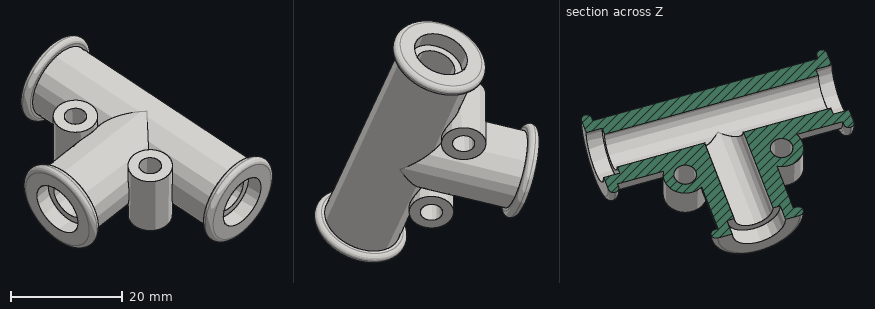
import cadquery as cq

run_length = 46.5
branch_length = 23.75
tube_diameter = 14.3
bore_diameter = 7.25
socket_diameter = 10.0
socket_depth = 3.0

collar_diameter = 17.5
collar_width = 2.0

boss_diameter = 8.0
boss_hole_diameter = 4.0
boss_height = 12.75
boss_offset_x = 9.1
boss_offset_y = 9.0

arms = [
    (cq.Plane((0, 0, 0), xDir=(0, 1, 0), normal=(1, 0, 0)), run_length / 2),
    (cq.Plane((0, 0, 0), xDir=(0, 1, 0), normal=(-1, 0, 0)), run_length / 2),
    (cq.Plane((0, 0, 0), xDir=(1, 0, 0), normal=(0, -1, 0)), branch_length),
]


def rod(plane, diameter, start, end):
    """Cylinder along the plane normal between two distances from its origin."""
    return cq.Workplane(plane).workplane(offset=start).circle(diameter / 2).extrude(end - start)


def arm_body(plane, length):
    """Tube with a round-rimmed collar at its outer end."""
    face_diameter = collar_diameter - collar_width
    rim_center = plane.toWorldCoords((0, 0, length - collar_width / 2))
    rim = cq.Solid.makeTorus(face_diameter / 2, collar_width / 2, rim_center, plane.zDir)
    collar = rod(plane, face_diameter, length - collar_width, length).union(cq.Workplane(rim))
    return rod(plane, tube_diameter, 0, length).union(collar)


def arm_passage(plane, length):
    """Bore from the tee centre, widened to a socket at the open end."""
    socket = rod(plane, socket_diameter, length - socket_depth, length)
    return rod(plane, bore_diameter, 0, length).union(socket)


def boss_cylinders(diameter):
    """Pair of vertical cylinders at the boss positions."""
    return (
        cq.Workplane("XY")
        .pushPoints([(side * boss_offset_x, -boss_offset_y) for side in (-1, 1)])
        .circle(diameter / 2)
        .extrude(boss_height / 2, both=True)
    )


result = boss_cylinders(boss_diameter)
for arm_plane, arm_length in arms:
    result = result.union(arm_body(arm_plane, arm_length))
for arm_plane, arm_length in arms:
    result = result.cut(arm_passage(arm_plane, arm_length))
result = result.cut(boss_cylinders(boss_hole_diameter))